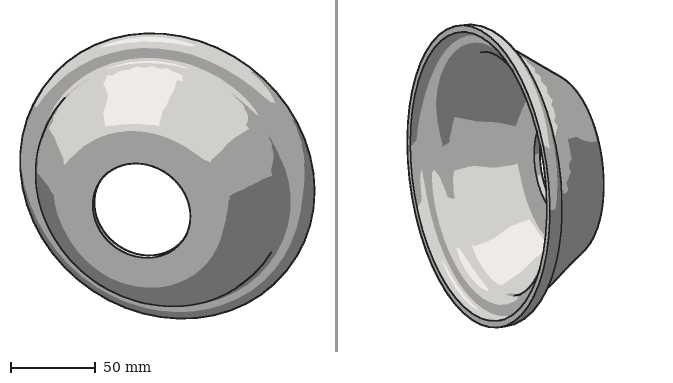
import math

import cadquery as cq

rim_radius = 90.0
body_radius = 76.5
nose_radius = 52.7
hole_radius = 30.0
flange_depth = 11.0
cone_start_depth = 21.0
total_depth = 57.0
wall = 4.0

rim_bend = 7.0
neck_bend = 3.2
shoulder_bend = 17.1
nose_bend = 7.5

inner_shoulder_bend = 3.2

cone_angle = math.atan2(body_radius - nose_radius, total_depth - cone_start_depth)


def round_circle(body, radius, depth, bend):
    """Round the circular edge of the given radius and depth."""
    tolerance = 0.2
    corner = cq.selectors.BoxSelector(
        (-radius - tolerance, -depth - tolerance, -radius - tolerance),
        (radius + tolerance, -depth + tolerance, radius + tolerance),
        boundingbox=True,
    )
    return body.edges("%CIRCLE").edges(corner).fillet(bend)


def stepped_cup(rim, neck, shoulder, nose):
    """Revolve a solid cup and round its corners, each given as (radius, depth, bend)."""
    points = [(0, 0), (rim[0], 0)]
    points += [(radius, -depth) for radius, depth, _ in (rim, neck, shoulder, nose)]
    points.append((0, -nose[1]))
    cup = cq.Workplane("XY").polyline(points).close().revolve(360, (0, 0, 0), (0, 1, 0))

    for radius, depth, bend in (nose, shoulder, neck, rim):
        cup = round_circle(cup, radius, depth, bend)
    return cup


outer = stepped_cup(
    rim=(rim_radius, flange_depth, rim_bend),
    neck=(body_radius, flange_depth, neck_bend),
    shoulder=(body_radius, cone_start_depth, shoulder_bend),
    nose=(nose_radius, total_depth, nose_bend),
)

cavity = stepped_cup(
    rim=(rim_radius - wall, flange_depth - wall, rim_bend - wall),
    neck=(body_radius - wall, flange_depth - wall, neck_bend + wall),
    shoulder=(
        body_radius - wall,
        cone_start_depth - wall * math.tan(cone_angle / 2),
        inner_shoulder_bend,
    ),
    nose=(
        nose_radius + wall * math.tan(cone_angle) - wall / math.cos(cone_angle),
        total_depth - wall,
        nose_bend - wall,
    ),
)

hole = cq.Workplane("XZ").circle(hole_radius).extrude(total_depth)

result = outer.cut(cavity).cut(hole)